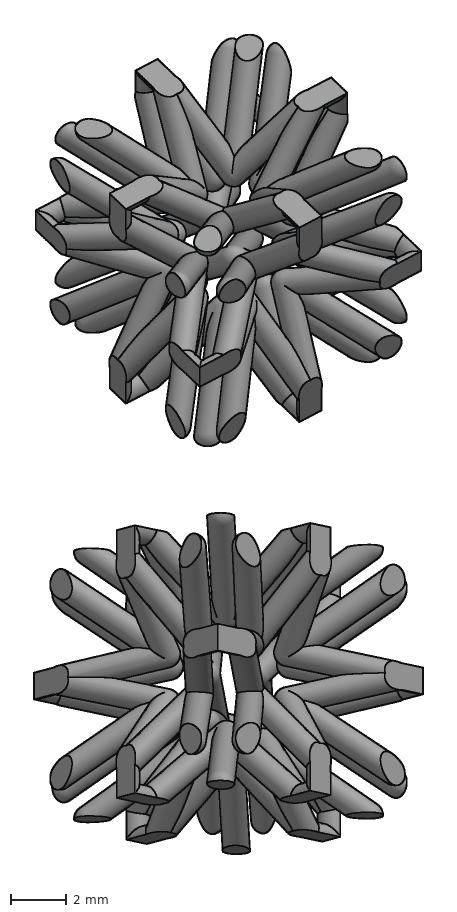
import cadquery as cq

cell_size = 10.0
strut_diameter = 1.0
half_cell = cell_size / 2
strut_radius = strut_diameter / 2

edge_arm_reach = 3.86
corner_joint_reach = 3.62

inner_joint_side = 0.9
inner_joint_height = 2.21


def strut(start, end):
    """Round bar between two joints."""
    origin = cq.Vector(*start)
    axis = cq.Vector(*end) - origin
    return cq.Solid.makeCylinder(strut_radius, axis.Length, origin, axis)


def joint_ball(centre):
    """Ball that rounds off the struts meeting at a joint."""
    return cq.Workplane("XY").sphere(strut_radius).translate(centre).val()


def swap_axes(point, shift):
    """Cyclic swap of the coordinates: a turn about the body diagonal."""
    return point[shift:] + point[:shift]


def edge_bracket(shift):
    """Two arms along the cell faces, meeting at the middle of a cell edge."""
    edge_middle = swap_axes((0, half_cell, half_cell), shift)
    shapes = [joint_ball(edge_middle)]
    for end in ((0, half_cell, edge_arm_reach), (0, edge_arm_reach, half_cell)):
        arm_end = swap_axes(end, shift)
        shapes += [strut(edge_middle, arm_end), joint_ball(arm_end)]
    return shapes


def inner_joint_struts(shift):
    """Struts from one inner joint to two arm ends and to the corner joint of the same face."""
    inner_joint = swap_axes((inner_joint_side, inner_joint_side, inner_joint_height), shift)
    corner_joint = swap_axes((corner_joint_reach, corner_joint_reach, half_cell), shift)
    arm_ends = [
        swap_axes((0, edge_arm_reach, half_cell), shift),
        swap_axes((edge_arm_reach, 0, half_cell), shift),
    ]
    shapes = [joint_ball(inner_joint), joint_ball(corner_joint)]
    shapes += [strut(inner_joint, end) for end in [corner_joint] + arm_ends]
    return shapes


octant_shapes = []
for shift in range(3):
    octant_shapes += edge_bracket(shift)
    octant_shapes += inner_joint_struts(shift)
octant_frame = cq.Workplane(obj=octant_shapes[0].fuse(*octant_shapes[1:]))
octant_box = cq.Workplane("XY").box(half_cell, half_cell, half_cell, centered=False)
lattice = octant_frame.intersect(octant_box)

for mirror_plane in ("YZ", "XZ", "XY"):
    lattice = lattice.union(lattice.mirror(mirror_plane))

result = lattice